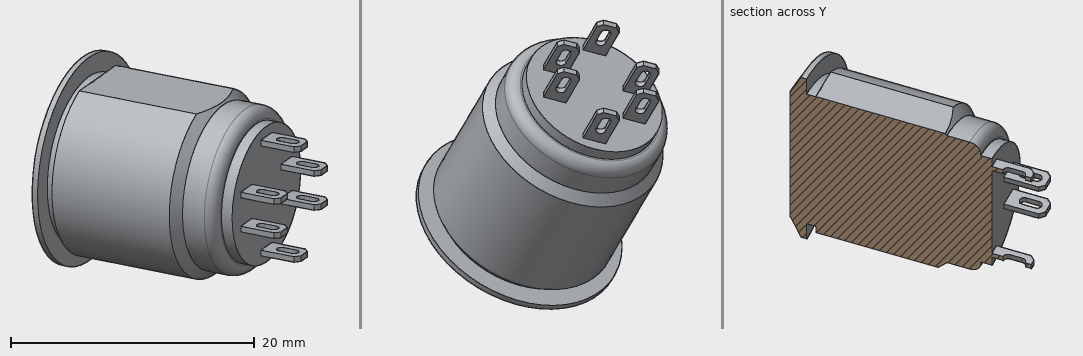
import cadquery as cq


bezel_diameter = 18.0
bezel_face_diameter = 14.0
bezel_cone_depth = 0.99
bezel_depth = 1.5

neck_diameter = 14.6
neck_end = 2.3
barrel_diameter = 15.95
barrel_chamfer_start = 13.2
barrel_end = 14.0
flat_height = 7.3

housing_diameter = 14.3
housing_end = 17.0
housing_edge_radius = 0.99
rear_plate_diameter = 12.0
rear_plate_end = 18.0

overall_length = 21.5
terminal_width = 1.98
terminal_thickness = 0.5
terminal_corner = 0.43
terminal_embed = 0.22
column_offset = 3.5
outer_row_height = 4.85
inner_row_height = 1.5
terminal_centres = [(0, side * outer_row_height) for side in (-1, 1)]
terminal_centres += [
    (column * column_offset, side * inner_row_height)
    for column in (-1, 1)
    for side in (-1, 1)
]
eyelet_length = 1.95
eyelet_width = 0.82
eyelet_centre = 19.97


def make_body():
    """Revolve the stepped bezel, barrel and housing about X."""
    face_radius = bezel_face_diameter / 2
    bezel_radius = bezel_diameter / 2
    neck_radius = neck_diameter / 2
    barrel_radius = barrel_diameter / 2
    housing_radius = housing_diameter / 2
    plate_radius = rear_plate_diameter / 2
    profile = (
        cq.Workplane("XY")
        .lineTo(0, face_radius)
        .lineTo(bezel_cone_depth, bezel_radius)
        .lineTo(bezel_depth, bezel_radius)
        .lineTo(bezel_depth, neck_radius)
        .lineTo(neck_end, neck_radius)
        .lineTo(neck_end, barrel_radius)
        .lineTo(barrel_chamfer_start, barrel_radius)
        .lineTo(barrel_end, housing_radius)
        .lineTo(housing_end - housing_edge_radius, housing_radius)
        .radiusArc((housing_end, housing_radius - housing_edge_radius), housing_edge_radius)
        .lineTo(housing_end, plate_radius)
        .lineTo(rear_plate_end, plate_radius)
        .lineTo(rear_plate_end, 0)
        .close()
    )
    return profile.revolve(360, (0, 0, 0), (1, 0, 0))


def make_flat_cutter():
    """Block that mills the anti-rotation flat on the +Z side of the barrel."""
    return (
        cq.Workplane("XY")
        .box(barrel_end - neck_end, barrel_diameter, barrel_diameter, centered=(False, True, False))
        .translate((neck_end, 0, flat_height))
    )


def make_terminal(y, z):
    """Flat solder tab with clipped tip corners and a slotted eyelet."""
    start = rear_plate_end - terminal_embed
    tab = (
        cq.Workplane("XY")
        .box(overall_length - start, terminal_width, terminal_thickness, centered=(False, True, True))
        .translate((start, 0, 0))
        .edges("|Z and >X")
        .chamfer(terminal_corner)
    )
    eyelet = (
        cq.Workplane("XY")
        .center(eyelet_centre, 0)
        .slot2D(eyelet_length, eyelet_width)
        .extrude(terminal_thickness, both=True)
    )
    return tab.cut(eyelet).translate((0, y, z))


result = make_body().cut(make_flat_cutter())
for centre_y, centre_z in terminal_centres:
    result = result.union(make_terminal(centre_y, centre_z))